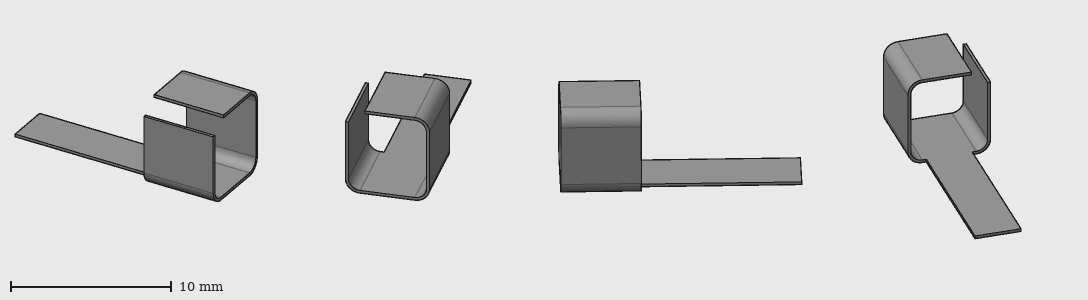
import cadquery as cq
import math

sheet = 0.2
sleeve_length = 5.0
sleeve_width = 5.4
sleeve_height = 5.94
bend_radius = 0.94
flange_reach = 4.14
tongue_length = 10.0
tongue_width = 3.0

front_y = -sleeve_width / 2
back_y = sleeve_width / 2
front_wall_top = sleeve_height - bend_radius
flange_edge_y = back_y - flange_reach

front_bend_y = front_y + bend_radius
back_bend_y = back_y - bend_radius
lower_bend_z = bend_radius
upper_bend_z = sleeve_height - bend_radius


def bend_point(center_y, center_z, radius, angle):
    """Point on a bend, with the angle in degrees from +Y towards +Z."""
    turn = math.radians(angle)
    return center_y + radius * math.cos(turn), center_z + radius * math.sin(turn)


def make_sleeve():
    """Front wall, floor, back wall and top flange as one bent strip."""
    inner_radius = bend_radius - sheet
    bends = [
        (front_bend_y, lower_bend_z, 180),
        (back_bend_y, lower_bend_z, 270),
        (back_bend_y, upper_bend_z, 0),
    ]
    profile = cq.Workplane("YZ").moveTo(front_y, front_wall_top)

    for center_y, center_z, start in bends:
        points = [bend_point(center_y, center_z, bend_radius, start + step) for step in (0, 45, 90)]
        profile = profile.lineTo(*points[0]).threePointArc(points[1], points[2])

    profile = profile.lineTo(flange_edge_y, sleeve_height)
    profile = profile.lineTo(flange_edge_y, sleeve_height - sheet)

    for center_y, center_z, start in reversed(bends):
        points = [bend_point(center_y, center_z, inner_radius, start + step) for step in (90, 45, 0)]
        profile = profile.lineTo(*points[0]).threePointArc(points[1], points[2])

    profile = profile.lineTo(front_y + sheet, front_wall_top).close()
    return profile.extrude(sleeve_length)


def make_tongue():
    """Flat strip running from the sleeve floor towards -X."""
    return cq.Workplane("YZ").center(0, sheet / 2).rect(tongue_width, sheet).extrude(-tongue_length)


result = make_sleeve().union(make_tongue())